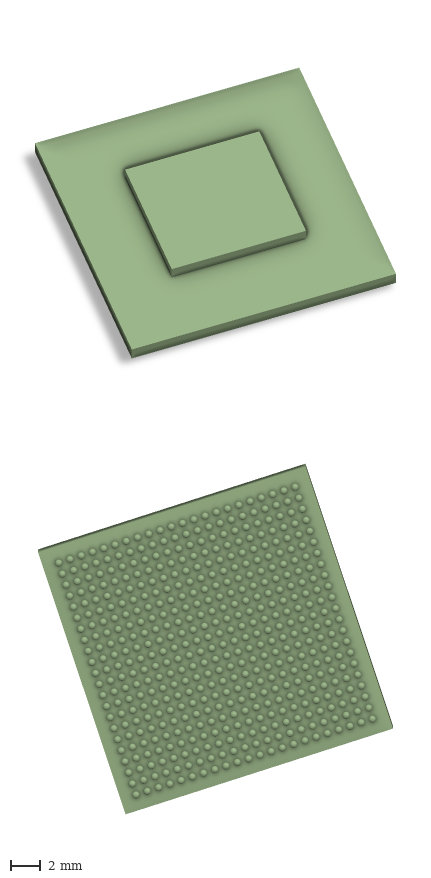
import cadquery as cq

side = 19.0
total_height = 2.3

substrate_thickness = 0.97
die_length_x = 9.15
die_length_y = 9.65
die_height = 0.9

balls_per_side = 22
grid_span = 16.8
ball_pitch = grid_span / (balls_per_side - 1)
ball_radius = 0.25

substrate_bottom = total_height - die_height - substrate_thickness


def make_substrate():
    return (
        cq.Workplane("XY")
        .workplane(offset=substrate_bottom)
        .rect(side, side)
        .extrude(substrate_thickness)
    )


def make_die():
    return (
        cq.Workplane("XY")
        .workplane(offset=substrate_bottom + substrate_thickness)
        .rect(die_length_x, die_length_y)
        .extrude(die_height)
    )


def make_ball():
    """Ball resting on Z = 0, cut flat where it meets the substrate."""
    ball = cq.Workplane("XY").sphere(ball_radius).translate((0, 0, ball_radius))
    below_substrate = cq.Workplane("XY").rect(side, side).extrude(substrate_bottom)
    return ball.intersect(below_substrate)


def make_ball_grid():
    ball = make_ball().val()
    return (
        cq.Workplane("XY")
        .rarray(ball_pitch, ball_pitch, balls_per_side, balls_per_side)
        .eachpoint(lambda place: ball.moved(place))
    )


package = make_substrate().union(make_die())
balls = make_ball_grid().vals()
result = cq.Workplane("XY").newObject([package.val().fuse(*balls)]).solids()